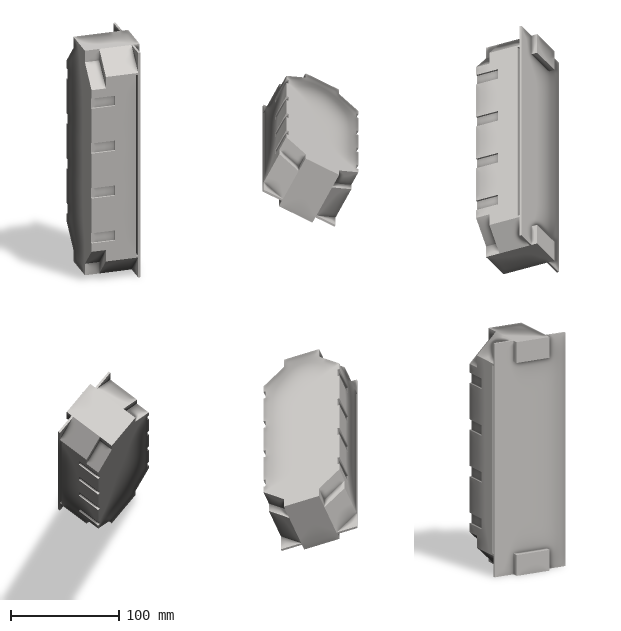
import cadquery as cq

width = 75.0
depth = 53.0
length = 225.0

tab_depth = 5.8
flange_thickness = 2.0
slot_depth = 2.0

corner_size = 20.0
step_drop = 11.5
step_depth = 14.0

slot_end_margin = 22.0

recess_count = 4
recess_pitch = 45.0
recess_height = 10.1
recess_reach = 23.0
recess_depth = 2.0

half_width = width / 2
half_length = length / 2
front_y = -depth / 2
flange_rear_y = depth / 2 - tab_depth
flange_front_y = flange_rear_y - flange_thickness
tab_width = width - 2 * corner_size
sides = (-1, 1)


def box(size_x, size_y, size_z, center_x, start_y, center_z):
    """Box centred in X and Z that extends toward +Y from start_y."""
    return (
        cq.Workplane("XY")
        .box(size_x, size_y, size_z, centered=(True, False, True))
        .translate((center_x, start_y, center_z))
    )


def corner_cut(side_x, side_z, drop, start_y, end_y):
    """Corner wedge whose slope starts a given drop in from the end of the part."""
    outer_x = side_x * half_width
    inner_x = side_x * (half_width - corner_size)
    end_z = side_z * half_length
    outline = [
        (outer_x, end_z),
        (outer_x, side_z * (half_length - drop - corner_size)),
        (inner_x, side_z * (half_length - drop)),
    ]
    if drop > 0:
        outline.append((inner_x, end_z))
    return (
        cq.Workplane("XZ", origin=(0, start_y, 0))
        .polyline(outline)
        .close()
        .extrude(start_y - end_y)
    )


result = box(width, flange_rear_y - front_y, length, 0, front_y, 0)

for side_z in sides:
    tab_z = side_z * (half_length - corner_size / 2)
    result = result.union(box(tab_width, tab_depth, corner_size, 0, flange_rear_y, tab_z))

for side_x in sides:
    for side_z in sides:
        result = result.cut(corner_cut(side_x, side_z, 0, front_y, flange_front_y))
        result = result.cut(corner_cut(side_x, side_z, step_drop, front_y, front_y + step_depth))

slot_length = length - 2 * slot_end_margin
result = result.cut(box(width, slot_depth, slot_length, 0, flange_front_y - slot_depth, 0))

for side_x in sides:
    recess_x = side_x * (half_width - recess_depth / 2)
    for index in range(recess_count):
        recess_z = (index - (recess_count - 1) / 2) * recess_pitch
        recess = box(recess_depth, recess_reach, recess_height, recess_x, front_y, recess_z)
        result = result.cut(recess)